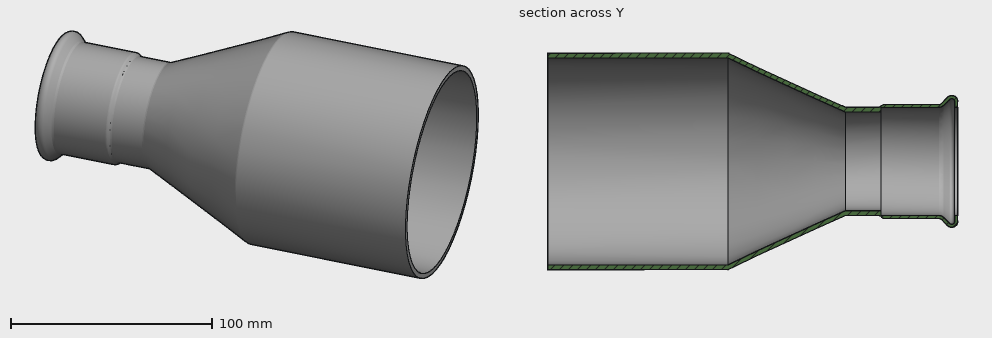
import cadquery as cq
import math

length = 204.0
body_radius = 108.0 / 2
socket_radius = 57.0 / 2
neck_radius = 54.0 / 2
neck_bore_radius = 24.5
socket_wall = 1.6
socket_bore_radius = socket_radius - socket_wall
body_bore_radius = body_radius - (neck_radius - neck_bore_radius)

shoulder_start = 37.1
bore_step = 38.1
shoulder_end = 39.0
cone_start = 55.9
cone_end = 114.2

bead_outer_radius = 3.0
bead_inner_radius = bead_outer_radius - socket_wall
bead_center_x = bead_outer_radius
bead_center_radius = 29.8

flare_blend = 1.6
flare_bore_blend = flare_blend + socket_wall
shoulder_blend = 1.5
cone_blend = 1.6


def bead_point(arc_radius, degrees):
    """Point on a bead arc, measured from the +X direction."""
    angle = math.radians(degrees)
    return (
        bead_center_x + arc_radius * math.cos(angle),
        bead_center_radius + arc_radius * math.sin(angle),
    )


def flare_end(arc_radius, tube_radius):
    """Station where the 45 degree line tangent to a bead arc meets the tube surface."""
    return bead_center_x + bead_center_radius + arc_radius * math.sqrt(2) - tube_radius


def add_bead(profile, arc_radius, tube_radius):
    """Continue a profile over the bead and down the flare to the tube surface."""
    return (
        profile.lineTo(*bead_point(arc_radius, 180))
        .threePointArc(bead_point(arc_radius, 90), bead_point(arc_radius, 45))
        .lineTo(flare_end(arc_radius, tube_radius), tube_radius)
    )


def revolve_to_end(profile, end_radius):
    """Run a profile along the body to the open end and turn it about X."""
    return (
        profile.lineTo(cone_end, end_radius)
        .lineTo(length, end_radius)
        .lineTo(length, 0)
        .close()
        .revolve(360, (0, 0, 0), (1, 0, 0))
    )


def blend_ring(solid, station, blend_radius):
    """Round the circular edge at one station along the axis."""
    margin = 0.2
    size = 2 * body_radius
    slab = cq.selectors.BoxSelector(
        (station - margin, -size, -size), (station + margin, size, size), boundingbox=True
    )
    return solid.edges(slab).edges("%CIRCLE").fillet(blend_radius)


def outer_solid():
    """Outside of the reducer, with its ring edges blended."""
    profile = (
        add_bead(cq.Workplane("XY"), bead_outer_radius, socket_radius)
        .lineTo(shoulder_start, socket_radius)
        .lineTo(shoulder_end, neck_radius)
        .lineTo(cone_start, neck_radius)
    )
    solid = revolve_to_end(profile, body_radius)
    for station, blend_radius in (
        (flare_end(bead_outer_radius, socket_radius), flare_blend),
        (shoulder_start, shoulder_blend),
        (shoulder_end, shoulder_blend),
        (cone_start, cone_blend),
        (cone_end, cone_blend),
    ):
        solid = blend_ring(solid, station, blend_radius)
    return solid


def bore_solid():
    """Passage with a seal groove behind the lip and a step down to the neck bore."""
    lip = (
        cq.Workplane("XY")
        .lineTo(0, socket_bore_radius)
        .lineTo(socket_wall, socket_bore_radius)
    )
    profile = (
        add_bead(lip, bead_inner_radius, socket_bore_radius)
        .lineTo(bore_step, socket_bore_radius)
        .lineTo(bore_step, neck_bore_radius)
        .lineTo(cone_start, neck_bore_radius)
    )
    solid = revolve_to_end(profile, body_bore_radius)
    return blend_ring(solid, flare_end(bead_inner_radius, socket_bore_radius), flare_bore_blend)


result = outer_solid().cut(bore_solid())